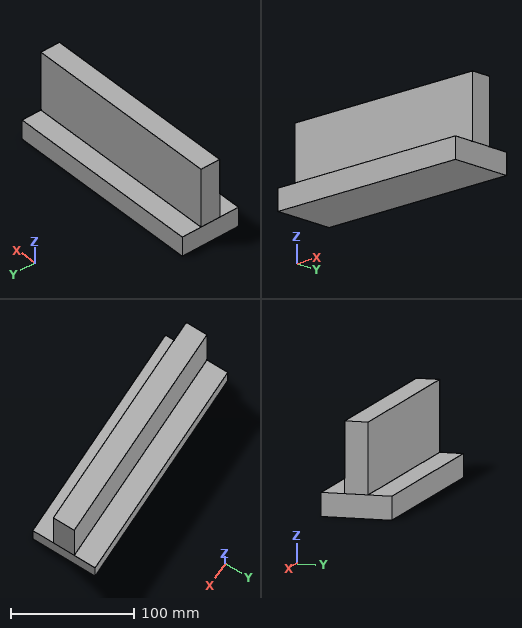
import cadquery as cq

length = 200.0
thickness = 20.0
base_width = 60.0
total_height = 80.0
web_height = total_height - thickness


def make_base():
    """Flat plate with its underside on Z = 0."""
    return cq.Workplane("XY").box(length, base_width, thickness, centered=(True, True, False))


def make_web():
    """Upright plate standing on the middle of the base, along its full length."""
    return (
        cq.Workplane("XY")
        .workplane(offset=thickness)
        .box(length, thickness, web_height, centered=(True, True, False))
    )


base = make_base()
web = make_web()

result = cq.Compound.makeCompound([base.val(), web.val()])